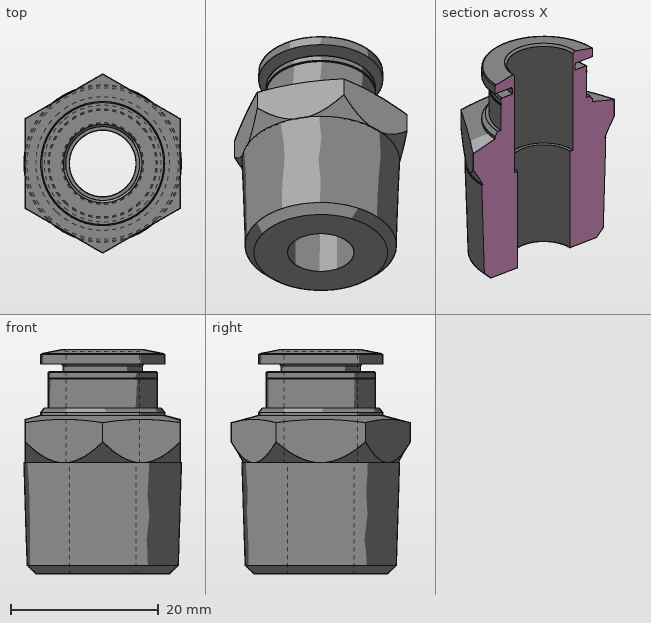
import cadquery as cq
import math

height = 30.4
across_flats = 21.0
across_corners = across_flats / math.cos(math.radians(30))

hex_bottom = 15.05
thread_top_diameter = 21.37
thread_taper = 1 / 16
end_chamfer_height = 1.15
end_diameter = 18.12
thread_end_diameter = thread_top_diameter - (hex_bottom - end_chamfer_height) * thread_taper

lower_chamfer_angle = 60.0
upper_chamfer_angle = 15.0
hex_top = 21.45

collar_diameter = 16.8
collar_top_diameter = 15.85
collar_edge = 21.83
collar_top = 22.47
sleeve_diameter = 14.8
sleeve_top = 27.42
sleeve_chamfer = 0.18
groove_bottom = 26.35
groove_width = 0.15
groove_depth = 0.1

neck_diameter = 10.8
neck_flare = 0.15
neck_flare_height = 0.27
cap_diameter = 16.8
cap_bottom = 28.4
cap_rim = 29.67
cap_rim_chamfer = 0.15
mouth_diameter = 10.65

tube_bore_diameter = 10.0
through_bore_diameter = 9.0
tube_stop = hex_bottom


def revolve_profile(points):
    """Revolve a closed (radius, z) outline about the Z axis."""
    return cq.Workplane("XZ").polyline(points).close().revolve(360, (0, 0), (0, 1))


def make_thread():
    return revolve_profile([
        (0, 0),
        (end_diameter / 2, 0),
        (thread_end_diameter / 2, end_chamfer_height),
        (thread_top_diameter / 2, hex_bottom),
        (0, hex_bottom),
    ])


def make_hexagon():
    """Hexagon with corners on the Y axis, trimmed by a cone at each end."""
    prism = (
        cq.Workplane("XY")
        .workplane(offset=hex_bottom)
        .polygon(6, across_corners)
        .extrude(hex_top - hex_bottom)
        .rotate((0, 0, 0), (0, 0, 1), 90)
    )
    corner_radius = across_corners / 2
    flat_radius = across_flats / 2
    collar_radius = collar_diameter / 2
    lower_rise = (corner_radius - flat_radius) * math.tan(math.radians(lower_chamfer_angle))
    upper_drop = (corner_radius - collar_radius) * math.tan(math.radians(upper_chamfer_angle))
    envelope = revolve_profile([
        (0, hex_bottom),
        (flat_radius, hex_bottom),
        (corner_radius, hex_bottom + lower_rise),
        (corner_radius, hex_top - upper_drop),
        (collar_radius, hex_top),
        (0, hex_top),
    ])
    return prism.intersect(envelope)


def make_collar_and_sleeve():
    sleeve_radius = sleeve_diameter / 2
    groove_radius = sleeve_radius - groove_depth
    groove_top = groove_bottom + groove_width
    return revolve_profile([
        (0, hex_top),
        (collar_diameter / 2, hex_top),
        (collar_diameter / 2, collar_edge),
        (collar_top_diameter / 2, collar_top),
        (sleeve_radius, collar_top),
        (sleeve_radius, groove_bottom),
        (groove_radius, groove_bottom),
        (groove_radius, groove_top),
        (sleeve_radius, groove_top),
        (sleeve_radius, sleeve_top - sleeve_chamfer),
        (sleeve_radius - sleeve_chamfer, sleeve_top),
        (0, sleeve_top),
    ])


def make_button():
    """Neck flaring into a cap whose top slopes from the mouth to the rim."""
    neck_radius = neck_diameter / 2
    cap_radius = cap_diameter / 2
    return revolve_profile([
        (0, sleeve_top),
        (neck_radius, sleeve_top),
        (neck_radius, cap_bottom - neck_flare_height),
        (neck_radius + neck_flare, cap_bottom),
        (cap_radius, cap_bottom),
        (cap_radius, cap_rim),
        (cap_radius - cap_rim_chamfer, cap_rim + cap_rim_chamfer),
        (mouth_diameter / 2, height),
        (0, height),
    ])


def make_bore():
    """Through bore, wider tube socket above it, and a 45 degree mouth chamfer."""
    mouth_depth = (mouth_diameter - tube_bore_diameter) / 2
    return revolve_profile([
        (0, 0),
        (through_bore_diameter / 2, 0),
        (through_bore_diameter / 2, tube_stop),
        (tube_bore_diameter / 2, tube_stop),
        (tube_bore_diameter / 2, height - mouth_depth),
        (mouth_diameter / 2, height),
        (0, height),
    ])


body = make_thread().union(make_hexagon()).union(make_collar_and_sleeve()).union(make_button())
result = body.cut(make_bore())